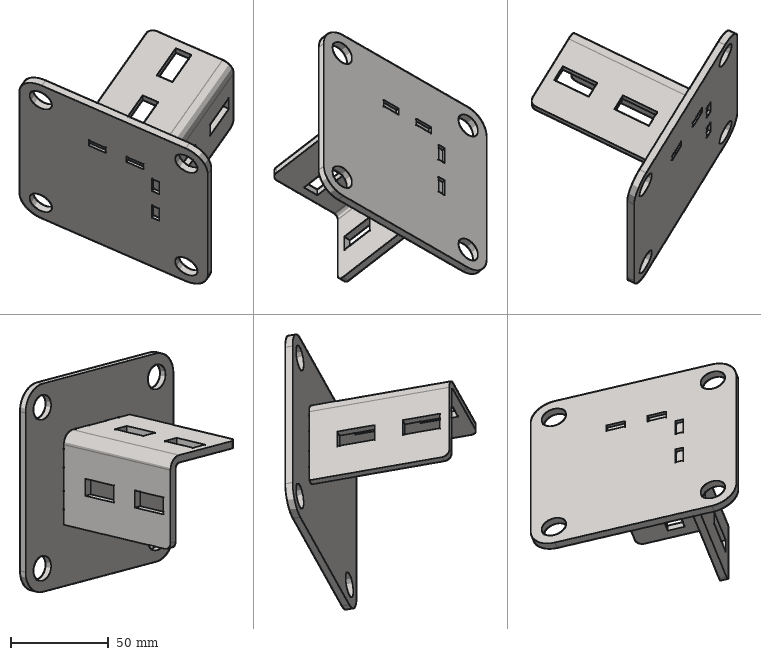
import cadquery as cq

plate_size = 110.0
sheet = 4.0
plate_corner_radius = 13.0
hole_diameter = 13.0
hole_spacing = 85.0

leg_length = 75.0
inner_face = 22.5
outer_face = inner_face + sheet
leg_edge = -inner_face
leg_level = inner_face + sheet / 2
inner_bend_radius = 2.6
outer_bend_radius = inner_bend_radius + sheet
leg_corner_radius = 4.0

window_length = 20.0
window_width = 9.0
window_center = 0.0
window_gap = 15.0
window_end_margin = 5.0
window_count = 2

slot_length = 10.0
slot_width = 4.2
tab_end_clearance = 0.25
tab_length = slot_length - 2 * tab_end_clearance
tab_depth = 2.5
first_tab_offset = 13.0
first_tab_center = leg_edge + first_tab_offset
tab_spacing = 22.0
tab_centers = [first_tab_center, first_tab_center + tab_spacing]


def block(x_size, y_size, z_size, x, y, z):
    """Box centred on (x, y, z)."""
    return cq.Workplane("XY").box(x_size, y_size, z_size).translate((x, y, z))


def mirror_legs(shape):
    """Swap X and Z, carrying a feature of the horizontal leg to the upright one."""
    return shape.rotate((0, 0, 0), (0, 1, 0), -90).mirror("YZ")


def both_legs(shape):
    """A horizontal-leg feature joined with its counterpart on the upright leg."""
    return shape.union(mirror_legs(shape))


def make_plate():
    plate = block(plate_size, sheet, plate_size, 0, -sheet / 2, 0)
    plate = plate.edges("|Y").fillet(plate_corner_radius)
    return (
        plate.faces("<Y").workplane(centerOption="CenterOfBoundBox")
        .rect(hole_spacing, hole_spacing, forConstruction=True)
        .vertices()
        .hole(hole_diameter)
    )


def make_angle():
    leg_width = outer_face - leg_edge
    mid = (outer_face + leg_edge) / 2
    horizontal = block(leg_width, leg_length, sheet, mid, leg_length / 2, leg_level)
    angle = both_legs(horizontal)
    inner_corner = cq.selectors.NearestToPointSelector((inner_face, leg_length / 2, inner_face))
    angle = angle.edges(inner_corner).fillet(inner_bend_radius)
    outer_corner = cq.selectors.NearestToPointSelector((outer_face, leg_length / 2, outer_face))
    angle = angle.edges(outer_corner).fillet(outer_bend_radius)
    for free_corner in [(leg_edge, leg_length, leg_level), (leg_level, leg_length, leg_edge)]:
        angle = angle.edges(cq.selectors.NearestToPointSelector(free_corner)).fillet(leg_corner_radius)
    return angle


def make_windows():
    windows = cq.Workplane("XY")
    for index in range(window_count):
        distance_from_end = window_end_margin + window_length / 2 + index * (window_length + window_gap)
        y = leg_length - distance_from_end
        windows = windows.union(block(window_width, window_length, 2 * sheet, window_center, y, leg_level))
    return both_legs(windows)


def make_row(length, depth, width):
    """Blocks on both legs reaching from the plate's back face into it, one at each tab position."""
    row = cq.Workplane("XY")
    for center in tab_centers:
        row = row.union(block(length, depth, width, center, -depth / 2, leg_level))
    return both_legs(row)


plate = make_plate().cut(make_row(slot_length, sheet, slot_width))
angle = make_angle().cut(make_windows())
tabs = make_row(tab_length, tab_depth, sheet)
result = plate.union(angle).union(tabs)